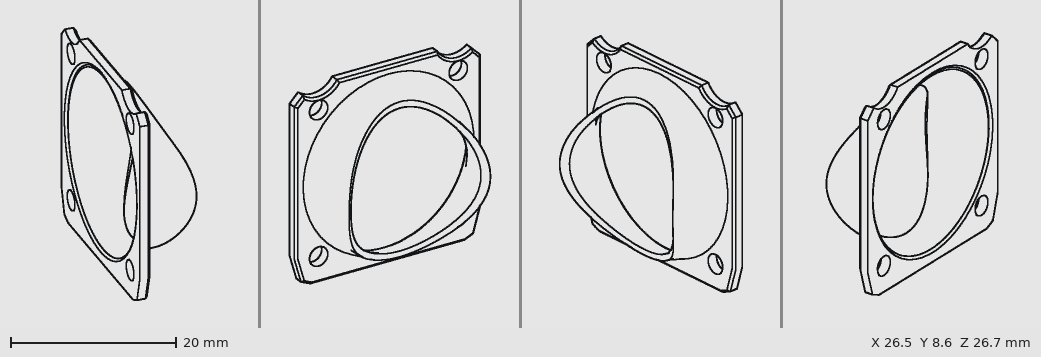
import cadquery as cq

plate_thickness = 1.42
half_width = 13.257
top_z = 13.2
bottom_z = -13.5
top_bevel = 2.08
bottom_bevel_start_z = -9.55
bottom_corner_x = 12.28
bottom_corner_z = -12.95
bottom_edge_half = 10.97
edge_chamfer = 0.32

hole_diameter = 2.6
hole_offset = 9.95
relief_radius = 3.25
relief_z = 14.87

cone_radius = 12.18
tube_radius = 10.1
tube_center_z = -1.4
cone_end_y = 4.38
inner_cone_end_y = 4.2
tube_end_y = 10.68
blend_radius = 5.0
wall = 0.83

bore_radius = 12.23
rim_chamfer = 0.32
entry_end_y = 0.67
entry_start_y = -2.67
entry_blend_radius = 4.0

saddle_radius = 13.35
saddle_low_y = 3.98


def circle_wire(radius, y, z):
    return cq.Wire.makeCircle(radius, cq.Vector(0, y, z), cq.Vector(0, 1, 0))


def cone_between(radius_a, y_a, z_a, radius_b, y_b, z_b):
    wires = [circle_wire(radius_a, y_a, z_a), circle_wire(radius_b, y_b, z_b)]
    return cq.Workplane(cq.Solid.makeLoft(wires, True))


def cylinder_y(radius, y_start, y_end, x=0, z=0):
    start = cq.Vector(x, y_start, z)
    return cq.Workplane(cq.Solid.makeCylinder(radius, y_end - y_start, start, cq.Vector(0, 1, 0)))


def make_plate():
    right_side = [
        (bottom_edge_half, bottom_z),
        (bottom_corner_x, bottom_corner_z),
        (half_width, bottom_bevel_start_z),
        (half_width, top_z - top_bevel),
        (half_width - top_bevel, top_z),
    ]
    left_side = [(-x, z) for x, z in reversed(right_side)]
    plate = cq.Workplane("XZ").polyline(right_side + left_side).close().extrude(-plate_thickness)
    plate = plate.faces(">Y").chamfer(edge_chamfer)
    relief_edge = cone_between(
        relief_radius, plate_thickness - edge_chamfer, 0,
        relief_radius + edge_chamfer, plate_thickness, 0,
    )
    for x in (-hole_offset, hole_offset):
        plate = plate.cut(cylinder_y(relief_radius, 0, plate_thickness, x, relief_z))
        plate = plate.cut(relief_edge.translate((x, 0, relief_z)))
        for z in (-hole_offset, hole_offset):
            plate = plate.cut(cylinder_y(hole_diameter / 2, 0, plate_thickness, x, z))
    return plate


def edge_at(y):
    """Selector for the round edge lying in the plane at this y."""
    return cq.selectors.BoxSelector(
        (-half_width, y - 0.03, bottom_z),
        (half_width, y + 0.03, top_z),
        boundingbox=True,
    )


def blended_horn(base_radius, base_y, horn_tube_radius, corner_y, horn_blend_radius):
    """Solid oblique cone running into a lowered tube, with the corner between them blended."""
    cone = cone_between(base_radius, base_y, 0, horn_tube_radius, corner_y, tube_center_z)
    tube = cylinder_y(horn_tube_radius, corner_y, tube_end_y, 0, tube_center_z)
    return cone.union(tube).edges(edge_at(corner_y)).fillet(horn_blend_radius)


collar = blended_horn(cone_radius, plate_thickness, tube_radius, cone_end_y, blend_radius)
bore = blended_horn(
    bore_radius - rim_chamfer,
    entry_end_y,
    tube_radius - wall,
    inner_cone_end_y,
    blend_radius + wall,
)
entry = cylinder_y(bore_radius - rim_chamfer, entry_start_y, entry_end_y)
bore = bore.union(entry).edges(edge_at(entry_end_y)).fillet(entry_blend_radius)
rim = cone_between(bore_radius, 0, 0, bore_radius - rim_chamfer, rim_chamfer, 0)
saddle = (
    cq.Workplane("XY", origin=(0, saddle_low_y + saddle_radius, bottom_z))
    .circle(saddle_radius)
    .extrude(top_z - bottom_z)
)

result = make_plate().union(collar).cut(bore).cut(rim).cut(saddle)